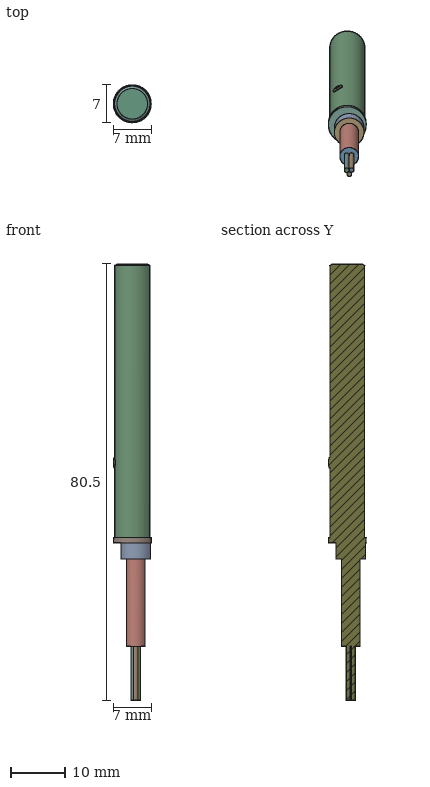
import cadquery as cq
import math

total_length = 80.5
wire_length = 10.0
cable_length = 16.1
boss_length = 3.0
flange_length = 1.0

body_diameter = 6.5
flange_diameter = 7.0
boss_diameter = 5.5
cable_diameter = 3.5
wire_diameter = 0.9

cable_offset = 0.65

wire_count = 3
wire_circle_radius = 0.52
first_wire_angle = -90.0

face_diameter = 5.6
bevel_height = 0.25

lamp_height = 43.9
lamp_diameter = 1.9
lamp_front_diameter = 1.1
lamp_bevel_depth = 0.2

cable_bottom = wire_length
boss_bottom = cable_bottom + cable_length
flange_bottom = boss_bottom + boss_length
body_bottom = flange_bottom + flange_length


def cylinder(diameter, bottom, top, x=0.0, y=0.0):
    """Upright cylinder between two heights."""
    return cq.Workplane("XY", origin=(x, y, bottom)).circle(diameter / 2).extrude(top - bottom)


def make_housing():
    """Body, flange and the off-centre boss and cable."""
    body = cylinder(body_diameter, body_bottom, total_length)
    body = body.faces(">Z").chamfer(bevel_height, (body_diameter - face_diameter) / 2)
    flange = cylinder(flange_diameter, flange_bottom, body_bottom)
    boss = cylinder(boss_diameter, boss_bottom, flange_bottom, cable_offset)
    cable = cylinder(cable_diameter, cable_bottom, boss_bottom, cable_offset)
    return body.union(flange).union(boss).union(cable)


def make_wires():
    """Bundle of bare wires leaving the cable end."""
    bundle = cq.Workplane("XY")
    for index in range(wire_count):
        angle = math.radians(first_wire_angle + index * 360 / wire_count)
        x = cable_offset + wire_circle_radius * math.cos(angle)
        y = wire_circle_radius * math.sin(angle)
        bundle = bundle.union(cylinder(wire_diameter, 0, wire_length, x, y))
    return bundle


def make_lamp():
    """Round lamp with a raised, bevelled front, standing out of the body on the -X side."""
    lamp_front = flange_diameter / 2
    bevel = (lamp_diameter - lamp_front_diameter) / 2
    return (
        cq.Workplane("YZ", origin=(-lamp_front, 0, lamp_height))
        .circle(lamp_diameter / 2)
        .extrude(lamp_front)
        .faces("<X")
        .chamfer(lamp_bevel_depth, bevel)
    )


result = make_housing().union(make_wires()).union(make_lamp())